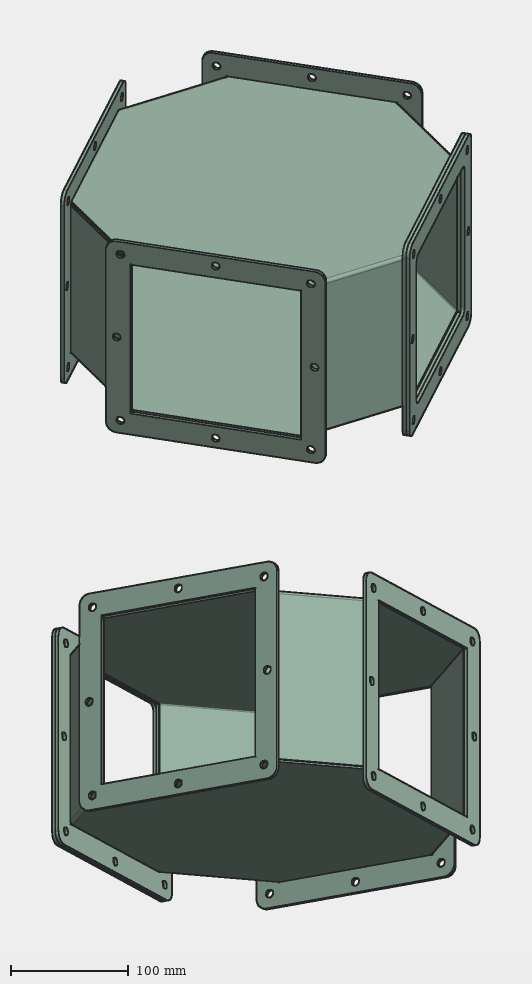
import cadquery as cq
import math

OVERALL = 354.7
CHAMBER_WIDTH = 320.0
CHAMBER_HEIGHT = 153.0
SHEET = 2.0
BEND_INNER_RADIUS = 1.0

FRAME_SIZE = 193.5
FRAME_THICKNESS = 3.2
FRAME_CORNER_RADIUS = 9.5
BACKING_OPENING_RADIUS = 6.0
HOLE_DIAMETER = 7.0
CORNER_HOLE_OFFSET = 84.0
MIDDLE_HOLE_OFFSET = 87.3

HALF_HEIGHT = CHAMBER_HEIGHT / 2
BEND_OUTER_RADIUS = BEND_INNER_RADIUS + SHEET
FRAME_OPENING = CHAMBER_HEIGHT - SHEET
FRAME_SHIFT = SHEET / 2

FRAME_OUTER_DISTANCE = (OVERALL * math.sqrt(2) - FRAME_THICKNESS - FRAME_SIZE) / 2
FRAME_INNER_DISTANCE = FRAME_OUTER_DISTANCE - FRAME_THICKNESS

BACK_RIGHT, BACK_LEFT, FRONT_LEFT, FRONT_RIGHT = 45, 135, 225, 315


def make_upper_half():
    """Top plate with both X walls folded down, cut off at 45 degrees along the four frames."""
    clear_width = CHAMBER_WIDTH - 2 * SHEET
    wall_bottom = -HALF_HEIGHT + SHEET
    wall_height = CHAMBER_HEIGHT - SHEET

    outside = (
        cq.Workplane("XY", origin=(0, 0, wall_bottom))
        .box(CHAMBER_WIDTH, clear_width, wall_height, centered=(True, True, False))
        .edges("|Y and >Z")
        .fillet(BEND_OUTER_RADIUS)
    )
    inside = (
        cq.Workplane("XY", origin=(0, 0, wall_bottom))
        .box(clear_width, clear_width, wall_height - SHEET, centered=(True, True, False))
        .edges("|Y and >Z")
        .fillet(BEND_INNER_RADIUS)
    )
    corner_cutter = (
        cq.Workplane("XY")
        .box(2 * FRAME_INNER_DISTANCE, 2 * FRAME_INNER_DISTANCE, CHAMBER_HEIGHT)
        .rotate((0, 0, 0), (0, 0, 1), 45)
    )
    return outside.cut(inside).intersect(corner_cutter)


def make_lower_half():
    """Bottom plate with both Y walls folded up: the upper half turned over about the line X = Y."""
    return make_upper_half().rotate((0, 0, 0), (1, 1, 0), 180)


def make_frame(heading, inner_distance, shift, opening_radius=0.0):
    """Square frame standing at a distance from the Z axis, facing outward along its heading."""
    angle = math.radians(heading)
    outward = cq.Vector(math.cos(angle), math.sin(angle), 0)
    plane = cq.Plane(
        origin=outward * inner_distance + cq.Vector(0, 0, shift),
        xDir=(-math.sin(angle), math.cos(angle), 0),
        normal=outward,
    )
    opening = cq.Workplane(plane).rect(FRAME_OPENING, FRAME_OPENING).extrude(FRAME_THICKNESS)
    if opening_radius > 0:
        opening = opening.edges(cq.selectors.ParallelDirSelector(outward)).fillet(opening_radius)

    corner, middle = CORNER_HOLE_OFFSET, MIDDLE_HOLE_OFFSET
    corner_points = [(u, v) for u in (-corner, corner) for v in (-corner, corner)]
    middle_points = [(-middle, 0), (middle, 0), (0, -middle), (0, middle)]
    holes = (
        cq.Workplane(plane)
        .pushPoints(corner_points + middle_points)
        .circle(HOLE_DIAMETER / 2)
        .extrude(FRAME_THICKNESS)
    )
    return (
        cq.Workplane(plane)
        .rect(FRAME_SIZE, FRAME_SIZE)
        .extrude(FRAME_THICKNESS)
        .edges(cq.selectors.ParallelDirSelector(outward))
        .fillet(FRAME_CORNER_RADIUS)
        .cut(opening)
        .cut(holes)
    )


upper_half = make_upper_half()
lower_half = make_lower_half()

frames = [
    make_frame(heading, FRAME_INNER_DISTANCE, FRAME_SHIFT if heading == BACK_LEFT else -FRAME_SHIFT)
    for heading in (BACK_RIGHT, BACK_LEFT, FRONT_LEFT, FRONT_RIGHT)
]

backing_frame = make_frame(BACK_RIGHT, FRAME_OUTER_DISTANCE, -FRAME_SHIFT, BACKING_OPENING_RADIUS)

result = cq.Compound.makeCompound(
    [upper_half.val(), lower_half.val(), *[frame.val() for frame in frames], backing_frame.val()]
)